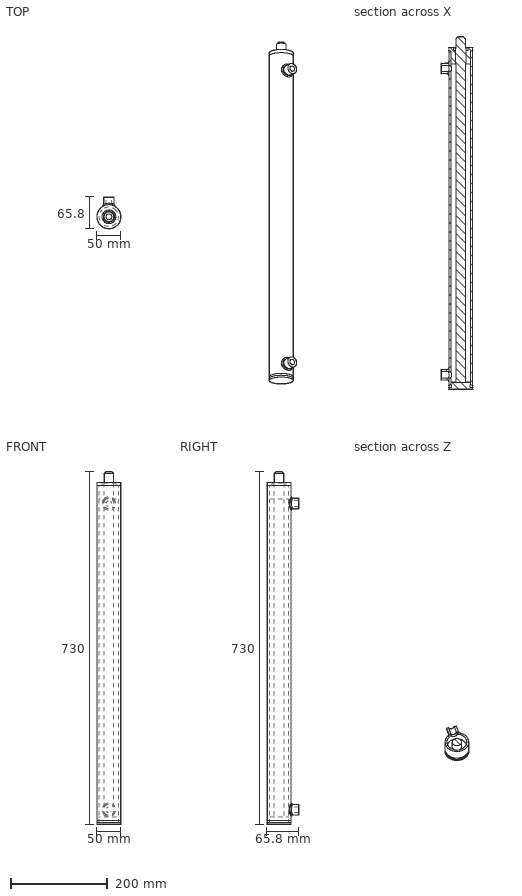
import cadquery as cq


total_length = 730
outer_diameter = 50
bore_diameter = 40

rod_diameter = 20
rod_overhang = 22
rod_chamfer = 4

cap_height = 4
cap_weld_height = 4
cap_spigot_length = 7

gland_flange_height = 7
gland_depth = 35
gland_mouth_diameter = 23
wiper_diameter = 28.6
wiper_lip = 1.5
wiper_height = 5

port_diameter = 22
port_bore = 11.45
port_reach = 40.82
port_weld_leg = 3
lower_port_height = 30
upper_port_height = 664
port_heights = (lower_port_height, upper_port_height)

body_top = total_length - rod_overhang
tube_top = body_top - gland_flange_height
tube_bottom = cap_height + cap_weld_height
spigot_top = tube_bottom + cap_spigot_length
wiper_top = body_top - wiper_lip
wiper_bottom = wiper_top - wiper_height
gland_bottom = body_top - gland_depth


def disc(diameter, bottom, top):
    """Solid cylinder on the Z axis between two levels."""
    return cq.Workplane("XY", origin=(0, 0, bottom)).circle(diameter / 2).extrude(top - bottom)


def ring(outer, inner, bottom, top):
    """Hollow cylinder on the Z axis between two levels."""
    return disc(outer, bottom, top).cut(disc(inner, bottom, top))


def port_disc(diameter, height):
    """Solid cylinder from the Z axis out to the port face on +Y."""
    return cq.Workplane("XZ", origin=(0, 0, height)).circle(diameter / 2).extrude(-port_reach)


def make_tube():
    """Barrel with a hole through its wall behind each port."""
    tube = ring(outer_diameter, bore_diameter, tube_bottom, tube_top)
    for height in port_heights:
        tube = tube.cut(port_disc(port_bore, height))
    return tube


def make_cap():
    """Bottom plate with a spigot that fills the end of the bore."""
    plate = disc(outer_diameter, 0, cap_height)
    return plate.union(disc(bore_diameter, cap_height, spigot_top))


def make_cap_weld():
    """Weld ring around the spigot, between the plate and the tube."""
    return ring(outer_diameter, bore_diameter, cap_height, tube_bottom)


def make_gland():
    """Flanged guide for the rod, with a wiper groove under a narrow lip."""
    flange = disc(outer_diameter, tube_top, body_top)
    gland = flange.union(disc(bore_diameter, gland_bottom, tube_top))
    gland = gland.cut(disc(rod_diameter, gland_bottom, body_top))
    gland = gland.cut(disc(wiper_diameter, wiper_bottom, wiper_top))
    return gland.cut(disc(gland_mouth_diameter, wiper_top, body_top))


def make_wiper():
    """Seal ring that fills the groove in the gland."""
    return ring(wiper_diameter, rod_diameter, wiper_bottom, wiper_top)


def make_rod():
    """Retracted rod resting on the cap spigot, chamfered at its outer end."""
    return disc(rod_diameter, spigot_top, total_length).faces(">Z").chamfer(rod_chamfer)


def make_port(height):
    """Bored stub that ends on the curved surface of the tube."""
    stub = port_disc(port_diameter, height).cut(disc(outer_diameter, 0, total_length))
    return stub.cut(port_disc(port_bore, height))


def make_port_weld(height):
    """Fillet weld that follows the saddle curve where a port meets the tube."""
    barrel = disc(outer_diameter, tube_bottom, tube_top)
    stub = port_disc(port_diameter, height)
    saddle_edges = cq.selectors.BoxSelector(
        (-port_diameter, 0, height - port_diameter),
        (port_diameter, port_reach - port_weld_leg, height + port_diameter),
    )
    welded = barrel.union(stub).edges(saddle_edges).chamfer(port_weld_leg)
    return welded.cut(barrel).cut(stub)


tube = make_tube()
cap = make_cap()
cap_weld = make_cap_weld()
gland = make_gland()
wiper = make_wiper()
rod = make_rod()
ports = [make_port(height) for height in port_heights]
port_welds = [make_port_weld(height) for height in port_heights]

bodies = [tube, cap, cap_weld, gland, wiper, rod, *ports, *port_welds]
result = cq.Compound.makeCompound([body.val() for body in bodies])